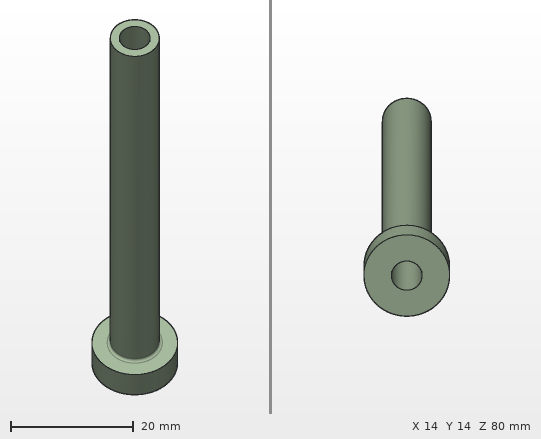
import cadquery as cq

total_length = 80.0
head_diameter = 14.0
head_thickness = 5.0
shank_diameter = 8.0
bore_diameter = 5.0
neck_fillet_radius = 0.5


def make_body():
    """Head and shank, blended by a fillet where the shank meets the head."""
    head = cq.Workplane("XY").circle(head_diameter / 2).extrude(head_thickness)
    shank = cq.Workplane("XY").circle(shank_diameter / 2).extrude(total_length)
    body = head.union(shank)
    neck_corner = cq.selectors.RadiusNthSelector(0)
    head_top = cq.NearestToPointSelector((0, 0, head_thickness))
    return body.faces("|Z").faces(head_top).edges(neck_corner).fillet(neck_fillet_radius)


def make_bore():
    """Straight bore through the full length."""
    return cq.Workplane("XY").circle(bore_diameter / 2).extrude(total_length)


result = make_body().cut(make_bore())